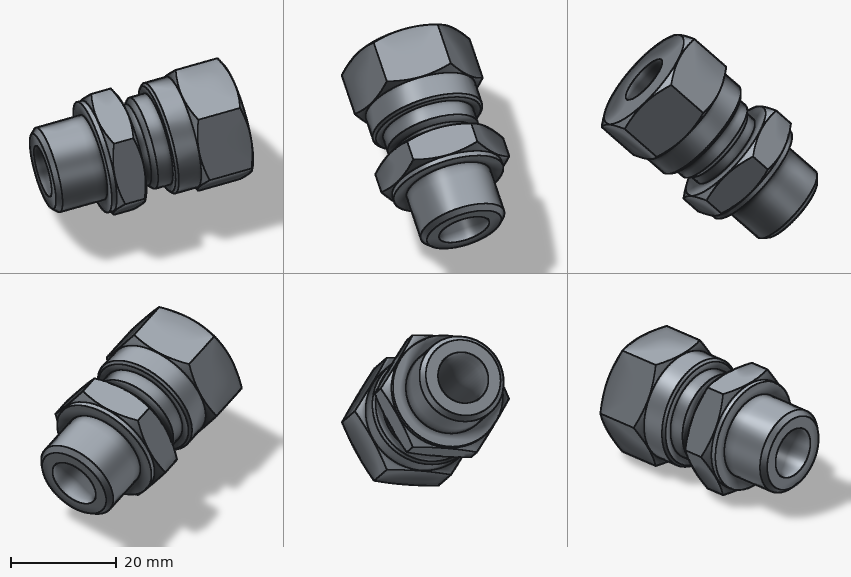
import cadquery as cq
import math


bore_diameter = 10.0

stud_diameter = 16.7
stud_length = 10.0
stud_chamfer_length = 1.0
stud_tip_diameter = 14.8
flange_length = 1.0

across_flats = 22.0
hex_corner_radius = across_flats / math.sqrt(3)
hex_face_diameter = 21.8
hex_chamfer_angle = math.radians(30)
body_hex_length = 6.0
nut_hex_length = 10.5

neck_diameter = 16.0
neck_length = 2.0
shoulder_diameter = 18.0
shoulder_cone_length = 1.0
shoulder_length = 3.0
collar_length = 5.0
collar_chamfer = 0.5

flange_start = stud_length
body_hex_start = flange_start + flange_length
neck_start = body_hex_start + body_hex_length
cone_start = neck_start + neck_length
shoulder_start = cone_start + shoulder_cone_length
collar_start = shoulder_start + shoulder_length
nut_hex_start = collar_start + collar_length
total_length = nut_hex_start + nut_hex_length


def revolve_about_axis(profile):
    """Revolve a closed (radius, y) outline about the Y axis."""
    return cq.Workplane("XY").polyline(profile).close().revolve(360, (0, 0), (0, 1))


def cylinder(start, length, diameter):
    """Round bar along +Y from the given station."""
    radius = diameter / 2
    end = start + length
    return revolve_about_axis([(0, start), (radius, start), (radius, end), (0, end)])


def cone(start, length, start_diameter, end_diameter):
    """Tapered bar along +Y from the given station."""
    end = start + length
    return revolve_about_axis([(0, start), (start_diameter / 2, start), (end_diameter / 2, end), (0, end)])


def chamfered_hexagon(start, length):
    """Hexagon with corners on the X axis, its corners turned off at both ends."""
    prism = (
        cq.Workplane("XZ", origin=(0, start, 0))
        .polygon(6, 2 * hex_corner_radius)
        .extrude(-length)
    )
    face_radius = hex_face_diameter / 2
    chamfer_length = (hex_corner_radius - face_radius) * math.tan(hex_chamfer_angle)
    end = start + length
    turned_envelope = revolve_about_axis([
        (0, start),
        (face_radius, start),
        (hex_corner_radius, start + chamfer_length),
        (hex_corner_radius, end - chamfer_length),
        (face_radius, end),
        (0, end),
    ])
    return prism.intersect(turned_envelope)


def stud():
    """Stud with a chamfered tip and a sealing flange."""
    tip = cone(0, stud_chamfer_length, stud_tip_diameter, stud_diameter)
    shank = cylinder(stud_chamfer_length, stud_length - stud_chamfer_length, stud_diameter)
    flange = cylinder(flange_start, flange_length, hex_face_diameter)
    return tip.union(shank).union(flange)


def neck_and_shoulder():
    """Relieved neck that widens through a cone to the shoulder."""
    neck = cylinder(neck_start, neck_length, neck_diameter)
    taper = cone(cone_start, shoulder_cone_length, neck_diameter, shoulder_diameter)
    shoulder = cylinder(shoulder_start, shoulder_length, shoulder_diameter)
    return neck.union(taper).union(shoulder)


def union_nut():
    """Hexagon nut with a round collar chamfered at its free edge."""
    collar_tip_diameter = hex_face_diameter - 2 * collar_chamfer
    collar_edge = cone(collar_start, collar_chamfer, collar_tip_diameter, hex_face_diameter)
    collar = cylinder(collar_start + collar_chamfer, collar_length - collar_chamfer, hex_face_diameter)
    return collar_edge.union(collar).union(chamfered_hexagon(nut_hex_start, nut_hex_length))


body_hex = chamfered_hexagon(body_hex_start, body_hex_length)
bore = cylinder(0, total_length, bore_diameter)

result = stud().union(body_hex).union(neck_and_shoulder()).union(union_nut()).cut(bore)